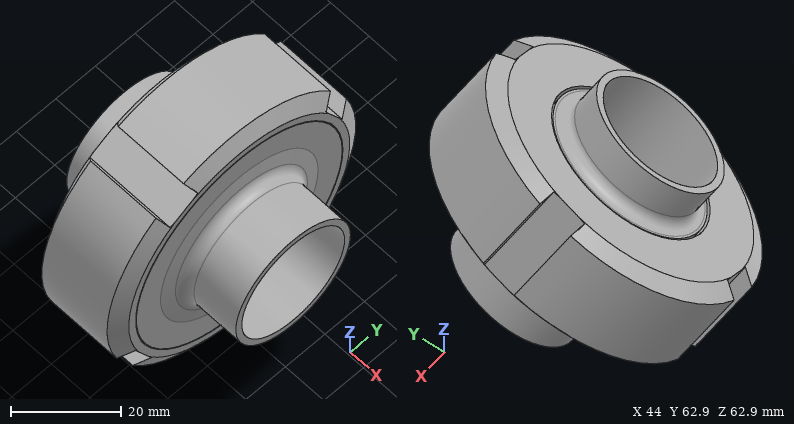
import cadquery as cq
import math

total_length = 44.0
tube_radius = 29.0 / 2
bore_radius = 26.0 / 2

nut_radius = 31.45
nut_start = 8.9
nut_end = 30.0
nut_chamfer_radial = 3.5
nut_chamfer_angle = math.radians(30)
nut_chamfer_axial = nut_chamfer_radial * math.tan(nut_chamfer_angle)
nut_lip_thickness = 5.0
nut_lip_radius = 36.0 / 2
nut_thread_radius = 52.4 / 2
slot_count = 4
slot_width = 8.05
slot_floor_radius = 27.8
slot_start_angle = 30.0

liner_hub_radius = 35.0 / 2
liner_collar_radius = 48.2 / 2
liner_collar_thickness = 5.0
liner_fillet = 2.5
liner_tube_length = 6.6

fitting_radius = 52.0 / 2
cone_start_radius = 39.8 / 2
cone_angle = math.radians(10)
fitting_fillet = 2.65

collar_start = nut_start + nut_lip_thickness
joint_x = collar_start + liner_collar_thickness


def revolve_about_x(profile):
    """Turn a closed (x, radius) profile into a solid of revolution about X."""
    return profile.close().revolve(360, (0, 0, 0), (1, 0, 0))


def make_nut():
    rim_radius = nut_radius - nut_chamfer_radial
    nut = revolve_about_x(
        cq.Workplane("XY")
        .moveTo(nut_start, nut_lip_radius)
        .lineTo(nut_start, rim_radius)
        .lineTo(nut_start + nut_chamfer_axial, nut_radius)
        .lineTo(nut_end - nut_chamfer_axial, nut_radius)
        .lineTo(nut_end, rim_radius)
        .lineTo(nut_end, nut_thread_radius)
        .lineTo(collar_start, nut_thread_radius)
        .lineTo(collar_start, nut_lip_radius)
    )
    slot = cq.Workplane("XY").box(
        nut_end - nut_start, nut_radius, slot_width, centered=(False, False, True)
    ).translate((nut_start, slot_floor_radius, 0))
    for i in range(slot_count):
        angle = slot_start_angle + i * 360 / slot_count
        nut = nut.cut(slot.rotate((0, 0, 0), (1, 0, 0), angle))
    return nut


def make_liner():
    hub_start = liner_tube_length + liner_fillet
    fillet_top = tube_radius + liner_fillet
    arc_inset = liner_fillet * math.sin(math.radians(45))
    return revolve_about_x(
        cq.Workplane("XY")
        .moveTo(0, bore_radius)
        .lineTo(0, tube_radius)
        .lineTo(liner_tube_length, tube_radius)
        .threePointArc(
            (liner_tube_length + arc_inset, fillet_top - arc_inset),
            (hub_start, fillet_top),
        )
        .lineTo(hub_start, liner_hub_radius)
        .lineTo(collar_start, liner_hub_radius)
        .lineTo(collar_start, liner_collar_radius)
        .lineTo(joint_x, liner_collar_radius)
        .lineTo(joint_x, bore_radius)
    )


def make_fitting():
    center_radius = tube_radius + fitting_fillet
    cone_end_radius = center_radius - fitting_fillet * math.sin(cone_angle)
    cone_end_x = nut_end + (cone_start_radius - cone_end_radius) * math.tan(cone_angle)
    center_x = cone_end_x + fitting_fillet * math.cos(cone_angle)
    mid_angle = (cone_angle + math.pi / 2) / 2
    arc_middle = (
        center_x - fitting_fillet * math.cos(mid_angle),
        center_radius - fitting_fillet * math.sin(mid_angle),
    )
    return revolve_about_x(
        cq.Workplane("XY")
        .moveTo(joint_x, bore_radius)
        .lineTo(joint_x, fitting_radius)
        .lineTo(nut_end, fitting_radius)
        .lineTo(nut_end, cone_start_radius)
        .lineTo(cone_end_x, cone_end_radius)
        .threePointArc(arc_middle, (center_x, tube_radius))
        .lineTo(total_length, tube_radius)
        .lineTo(total_length, bore_radius)
    )


nut = make_nut()
liner = make_liner()
fitting = make_fitting()

result = cq.Compound.makeCompound([nut.val(), liner.val(), fitting.val()])